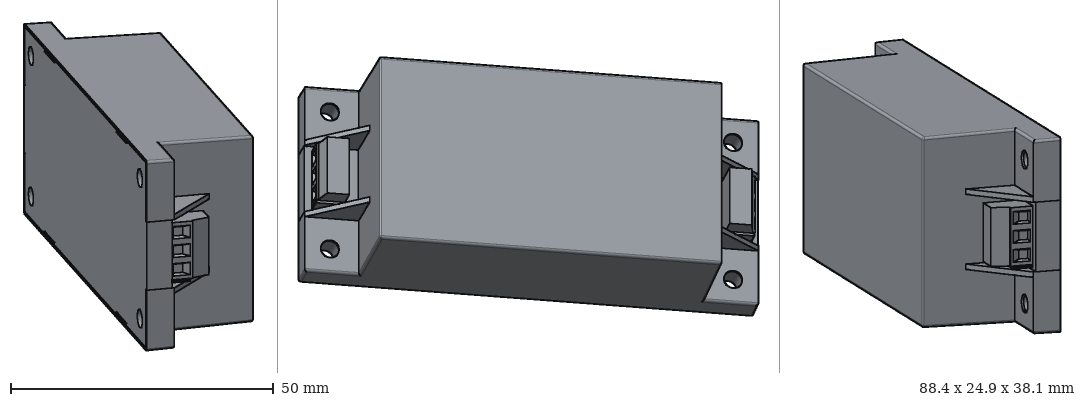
import cadquery as cq
import math

TILT = 0.64
LENGTH = 88.4
HEIGHT = 38.1
DEPTH = 24.0
DRAFT = 1.0

BODY_LENGTH = 67.35
FLANGE_DEPTH = 5.5
EDGE_ROUND = 0.5
CORNER_ROUND = 0.3
GUSSET_TOP = 15.3
GUSSET_WIDTH = 1.1
BAY_HEIGHT = 13.6

SIDE_RIM = 0.5
END_RIM = 0.6
LID_THICKNESS = 5.0
HOLE_DIAMETER = 3.5
HOLE_X = 39.2
HOLE_Z = 14.05
CATCH_X = 25.8
CATCH_LENGTH = 7.2
CATCH_SIZE = 0.5

BLOCK_FRONT = 42.6
BLOCK_BACK = 36.95
BLOCK_TOP = 13.1
BLOCK_HEIGHT = 11.5
SHOULDER_DEPTH = 9.55
SHOULDER_LEDGE = 0.4
SLOPE_TOP_X = 41.2
KEY_SIZE = 0.5
KEY_FLARE = 0.3
WIRE_COUNT = 3
WIRE_PITCH = 3.7
MOUTH_LOW = 5.6
MOUTH_HIGH = 9.0
MOUTH_HEIGHT = 2.5
SEAT_LOW = 5.8
SEAT_HIGH = 7.7
SEAT_HEIGHT = 1.8
FUNNEL_DEPTH = 0.7

HALF_LENGTH = LENGTH / 2
LID_LENGTH = LENGTH - 2 * END_RIM
LID_HEIGHT = HEIGHT - 2 * SIDE_RIM
MOUNTING_PLANE = cq.Plane(origin=(0, 0, 0), xDir=(1, 0, 0), normal=(0, 1, 0))


def drafted_block(length, depth):
    """Full-height block on the mounting plane whose four walls lean inwards."""
    return cq.Workplane(MOUNTING_PLANE).rect(length, HEIGHT).extrude(depth, taper=DRAFT)


def prism(points, z_low, z_high):
    """Outline in X and Y, extruded between two heights."""
    return cq.Workplane("XY", origin=(0, 0, z_low)).polyline(points).close().extrude(z_high - z_low)


def mounting_holes():
    """Four through holes, one near each corner of the flange."""
    centres = [(x, z) for x in (-HOLE_X, HOLE_X) for z in (-HOLE_Z, HOLE_Z)]
    return cq.Workplane(MOUNTING_PLANE).pushPoints(centres).circle(HOLE_DIAMETER / 2).extrude(FLANGE_DEPTH)


def end_bays(depth):
    """Space between the gussets of each end, outside the body and inside the drafted end wall."""
    band = cq.Workplane(MOUNTING_PLANE).rect(LENGTH, BAY_HEIGHT).extrude(depth)
    ends = drafted_block(LENGTH, FLANGE_DEPTH).cut(drafted_block(BODY_LENGTH, DEPTH))
    return band.intersect(ends)


def catch_notches():
    """Dovetail notches in the long edges of the lid, two per edge."""
    notches = cq.Workplane("XY")
    edge = LID_HEIGHT / 2
    outer = CATCH_LENGTH / 2 - CATCH_SIZE
    inner = CATCH_LENGTH / 2
    for x in (-CATCH_X, CATCH_X):
        for side in (-1, 1):
            root = side * edge
            floor = side * (edge - CATCH_SIZE)
            outline = [(x - outer, root), (x + outer, root), (x + inner, floor), (x - inner, floor)]
            notches = notches.add(cq.Workplane(MOUNTING_PLANE).polyline(outline).close().extrude(LID_THICKNESS))
    return notches.combine()


def catch_ramps():
    """Wedges that slope the front of each catch down from the rim to the notch floor."""
    edge = LID_HEIGHT / 2
    wedge = cq.Workplane("YZ").polyline([(0, edge), (0, edge - CATCH_SIZE), (CATCH_SIZE, edge - CATCH_SIZE)])
    upper = wedge.close().extrude(HALF_LENGTH, both=True)
    return upper.union(upper.mirror("XY"))


def wall_x(base_length, depth):
    """Distance of a drafted end wall from the middle, at a given depth."""
    return base_length / 2 - depth * math.tan(math.radians(DRAFT))


def gussets():
    """Triangular webs that flank each bay, from the flange edge up the body wall."""
    webs = cq.Workplane("XY")
    toe_x = wall_x(LENGTH, FLANGE_DEPTH)
    root_x = wall_x(BODY_LENGTH, FLANGE_DEPTH)
    top_x = wall_x(BODY_LENGTH, GUSSET_TOP)
    inner = BAY_HEIGHT / 2
    outer = inner + GUSSET_WIDTH
    for end in (-1, 1):
        outline = [(end * toe_x, FLANGE_DEPTH), (end * top_x, GUSSET_TOP), (end * root_x, FLANGE_DEPTH)]
        webs = webs.add(prism(outline, inner, outer)).add(prism(outline, -outer, -inner))
    return webs.combine()


def make_housing(lid):
    """Drafted body and flange, cut to receive the lid."""
    shell = drafted_block(BODY_LENGTH, DEPTH).union(drafted_block(LENGTH, FLANGE_DEPTH)).clean()
    shell = shell.faces(">Y").edges("|Z").fillet(CORNER_ROUND)
    shell = shell.faces("<Z or >Z").edges("not <Y").fillet(EDGE_ROUND)
    shell = shell.union(gussets())
    shell = shell.cut(end_bays(FLANGE_DEPTH)).cut(lid).cut(mounting_holes())
    return shell.cut(catch_notches().intersect(catch_ramps()))


def make_lid():
    """Thick plate whose two tongues reach the end walls and floor the bays."""
    plate = cq.Workplane(MOUNTING_PLANE).rect(LID_LENGTH, LID_HEIGHT).extrude(LID_THICKNESS)
    tongues = end_bays(LID_THICKNESS)
    return plate.cut(catch_notches()).union(tongues).cut(mounting_holes())


def wire_funnel(z):
    """Tapered wire entry in the outer face of a terminal block."""
    face = cq.Plane(origin=(-BLOCK_FRONT, 0, z), xDir=(0, 1, 0), normal=(1, 0, 0))
    mouth_centre = (MOUTH_LOW + MOUTH_HIGH) / 2
    seat_centre = (SEAT_LOW + SEAT_HIGH) / 2
    mouth = cq.Workplane(face).center(mouth_centre, 0).rect(MOUTH_HIGH - MOUTH_LOW, MOUTH_HEIGHT)
    seat = mouth.workplane(offset=FUNNEL_DEPTH).center(seat_centre - mouth_centre, 0)
    return seat.rect(SEAT_HIGH - SEAT_LOW, SEAT_HEIGHT).loft()


def terminal_key():
    """Rib under a terminal block, upright on the lid, flaring outwards below its neck."""
    top = -BLOCK_HEIGHT / 2
    outline = [
        (-BLOCK_FRONT + KEY_FLARE, top),
        (-BLOCK_FRONT, top - KEY_FLARE),
        (-BLOCK_FRONT, top - KEY_SIZE),
        (-BLOCK_BACK, top - KEY_SIZE),
        (-BLOCK_BACK, top),
    ]
    rib = cq.Workplane("XZ", origin=(0, LID_THICKNESS, 0)).polyline(outline).close()
    return rib.extrude(LID_THICKNESS - MOUTH_HIGH)


def make_terminal():
    """Terminal block for the -X end."""
    outline = [
        (-BLOCK_FRONT, LID_THICKNESS),
        (-BLOCK_FRONT, SHOULDER_DEPTH),
        (-BLOCK_FRONT + SHOULDER_LEDGE, SHOULDER_DEPTH),
        (-SLOPE_TOP_X, BLOCK_TOP),
        (-BLOCK_BACK, BLOCK_TOP),
        (-BLOCK_BACK, LID_THICKNESS),
    ]
    half = BLOCK_HEIGHT / 2
    block = prism(outline, -half, half).union(terminal_key())
    for i in range(WIRE_COUNT):
        block = block.cut(wire_funnel((i - (WIRE_COUNT - 1) / 2) * WIRE_PITCH))
    return block


def turned(body):
    """Body turned into its final direction about Z."""
    return body.rotate((0, 0, 0), (0, 0, 1), -TILT).val()


lid = make_lid()
housing = make_housing(lid)
terminal = make_terminal()
terminals = [terminal, terminal.mirror("YZ")]

result = cq.Compound.makeCompound([turned(body) for body in (housing, lid, *terminals)])